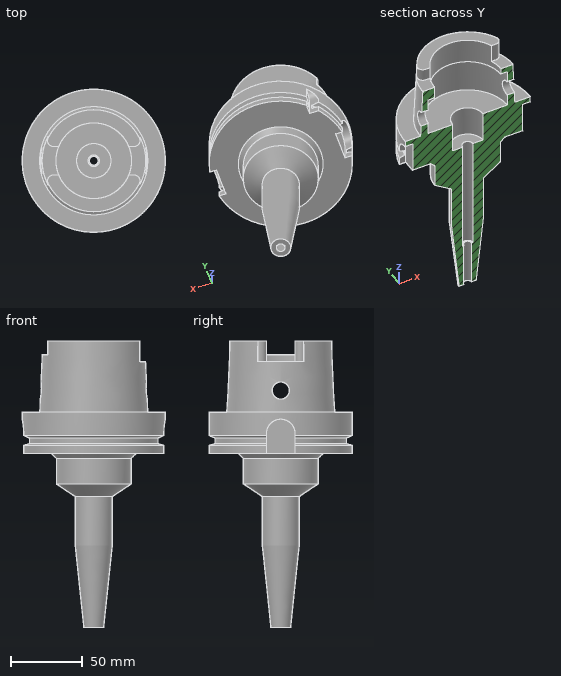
import cadquery as cq
import math


TOP_Z = 200.0
FLANGE_TOP_Z = 150.5
FLANGE_BOTTOM_Z = 121.5
COLLAR_TOP_Z = 118.0
COLLAR_BOTTOM_Z = 100.2
STEM_TOP_Z = 91.5
NOSE_TOP_Z = 57.2

SHANK_TOP_R = 35.5
SHANK_BASE_R = 37.8
FLANGE_R = 50.0
COLLAR_R = 26.2
COLLAR_CONE_R = 29.5
STEM_R = 13.0
TIP_R = 7.0

GROOVE_FLOOR_R = 46.0
GROOVE_TOP_Z = 134.0
GROOVE_BOTTOM_Z = 127.2
GROOVE_UPPER_SLOPE = 1.8
GROOVE_LOWER_SLOPE = 1.2

MOUTH_R = 26.5
MOUTH_DEPTH = 19.5
CHAMBER_R = 31.5
CHAMBER_FLOOR_Z = FLANGE_TOP_Z
TUBE_SEAT_R = 12.0
TUBE_SEAT_DEPTH = 24.0
CHANNEL_R = 4.0
TOOL_BORE_R = 3.0
TOOL_BORE_DEPTH = 36.0

DRIVE_SLOT_WIDTH = 19.8
DRIVE_LIP_R = 4.2
LEFT_DRIVE_DEPTH = 9.5
RIGHT_DRIVE_DEPTH = 14.5

CROSS_HOLE_DIAMETER = 11.8
CROSS_HOLE_Z = 165.5

FLANGE_SLOT_TOP_Z = 145.5
FLANGE_SLOT_WIDTH = 20.0
KEY_SLOT_FLOOR_X = 44.0
NOTCH_FLOOR_X = 32.2
NOTCH_Y = 41.5

CLEARANCE = 10.0


def make_body():
    """Outer shape as one revolved profile."""
    profile = [
        (0, 0),
        (TIP_R, 0),
        (STEM_R, NOSE_TOP_Z),
        (STEM_R, STEM_TOP_Z),
        (COLLAR_R, COLLAR_BOTTOM_Z),
        (COLLAR_R, COLLAR_TOP_Z),
        (COLLAR_CONE_R, FLANGE_BOTTOM_Z),
        (FLANGE_R, FLANGE_BOTTOM_Z),
        (FLANGE_R, GROOVE_BOTTOM_Z),
        (GROOVE_FLOOR_R, GROOVE_BOTTOM_Z + GROOVE_LOWER_SLOPE),
        (GROOVE_FLOOR_R, GROOVE_TOP_Z - GROOVE_UPPER_SLOPE),
        (FLANGE_R, GROOVE_TOP_Z),
        (FLANGE_R, FLANGE_TOP_Z),
        (SHANK_BASE_R, FLANGE_TOP_Z),
        (SHANK_TOP_R, TOP_Z),
        (0, TOP_Z),
    ]
    return cq.Workplane("XZ").polyline(profile).close().revolve(360, (0, 0), (0, 1))


def make_bore():
    """Mouth, widened clamping chamber, coolant tube seat, channel and tool bore."""
    clamp_top_z = TOP_Z - MOUTH_DEPTH
    seat_floor_z = CHAMBER_FLOOR_Z - TUBE_SEAT_DEPTH
    profile = [
        (0, 0),
        (TOOL_BORE_R, 0),
        (TOOL_BORE_R, TOOL_BORE_DEPTH),
        (CHANNEL_R, TOOL_BORE_DEPTH),
        (CHANNEL_R, seat_floor_z),
        (TUBE_SEAT_R, seat_floor_z),
        (TUBE_SEAT_R, CHAMBER_FLOOR_Z),
        (CHAMBER_R, CHAMBER_FLOOR_Z),
        (CHAMBER_R, clamp_top_z),
        (MOUTH_R, clamp_top_z),
        (MOUTH_R, TOP_Z),
        (0, TOP_Z),
    ]
    return cq.Workplane("XZ").polyline(profile).close().revolve(360, (0, 0), (0, 1))


def make_drive_slot(depth):
    """Rim slot on the +X side, its walls rounded into the outside of the shank."""
    half_width = DRIVE_SLOT_WIDTH / 2
    lip_y = half_width + DRIVE_LIP_R
    lip_x = math.sqrt((SHANK_TOP_R - DRIVE_LIP_R) ** 2 - lip_y ** 2)
    end_angle = math.atan2(lip_y, lip_x)
    mid_angle = (end_angle - math.pi / 2) / 2
    mid_x = lip_x + DRIVE_LIP_R * math.cos(mid_angle)
    mid_y = lip_y + DRIVE_LIP_R * math.sin(mid_angle)
    end_x = SHANK_TOP_R * math.cos(end_angle)
    end_y = SHANK_TOP_R * math.sin(end_angle)
    outer_x = FLANGE_R
    outer_y = end_y * outer_x / end_x
    return (
        cq.Workplane("XY", origin=(0, 0, TOP_Z - depth))
        .moveTo(0, -half_width)
        .lineTo(lip_x, -half_width)
        .threePointArc((mid_x, -mid_y), (end_x, -end_y))
        .lineTo(outer_x, -outer_y)
        .lineTo(outer_x, outer_y)
        .lineTo(end_x, end_y)
        .threePointArc((mid_x, mid_y), (lip_x, half_width))
        .lineTo(0, half_width)
        .close()
        .extrude(depth + CLEARANCE)
    )


def make_flange_slot(floor_x, center_y):
    """Round-topped slot on the +X side, open at the bottom of the flange."""
    radius = FLANGE_SLOT_WIDTH / 2
    arc_z = FLANGE_SLOT_TOP_Z - radius
    bottom_z = FLANGE_BOTTOM_Z - CLEARANCE
    return (
        cq.Workplane("YZ", origin=(floor_x, 0, 0))
        .moveTo(center_y - radius, bottom_z)
        .lineTo(center_y - radius, arc_z)
        .threePointArc((center_y, FLANGE_SLOT_TOP_Z), (center_y + radius, arc_z))
        .lineTo(center_y + radius, bottom_z)
        .close()
        .extrude(FLANGE_R - floor_x + CLEARANCE)
    )


result = make_body().cut(make_bore())

result = result.cut(make_drive_slot(RIGHT_DRIVE_DEPTH))
result = result.cut(make_drive_slot(LEFT_DRIVE_DEPTH).mirror("YZ"))

cross_hole = (
    cq.Workplane("YZ")
    .center(0, CROSS_HOLE_Z)
    .circle(CROSS_HOLE_DIAMETER / 2)
    .extrude(FLANGE_R, both=True)
)
result = result.cut(cross_hole)

key_slot = make_flange_slot(KEY_SLOT_FLOOR_X, 0)
notch = make_flange_slot(NOTCH_FLOOR_X, NOTCH_Y)
result = result.cut(key_slot).cut(key_slot.mirror("YZ"))
result = result.cut(notch.mirror("YZ"))